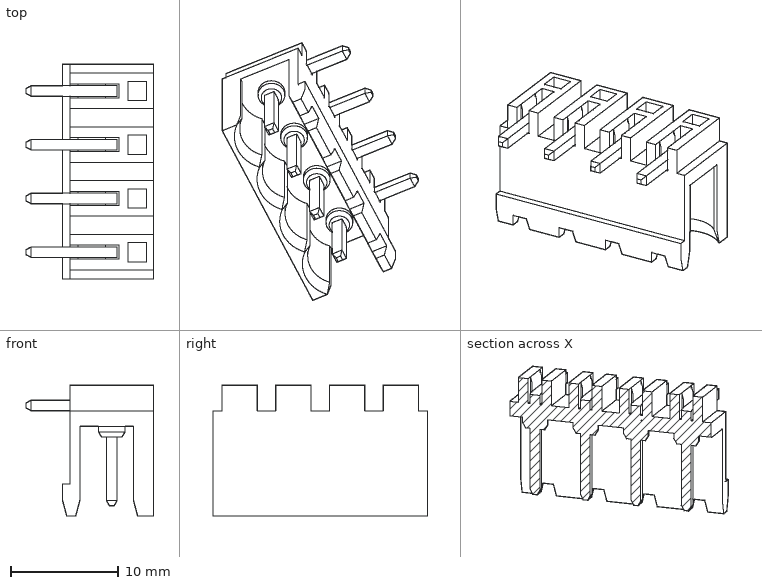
import cadquery as cq


PIN_COUNT = 4
PITCH = 5.0
LENGTH = PIN_COUNT * PITCH
PIN_ROWS = [(i - (PIN_COUNT - 1) / 2) * PITCH for i in range(PIN_COUNT)]

FRONT_X = -3.9
BODY_WIDTH = 7.8
BACK_X = FRONT_X + BODY_WIDTH
FRONT_WALL = 0.95
BACK_WALL = 1.9
FRONT_INNER_X = FRONT_X + FRONT_WALL
BACK_INNER_X = BACK_X - BACK_WALL
CEILING_Z = 8.35
DECK_Z = 9.8
LIP_DEPTH = 0.7
LIP_Z = 3.0
FOOT_TAPER_HEIGHT = 1.5
FOOT_TAPER = 0.4

TOP_Z = 12.2
BLOCK_HEIGHT = TOP_Z - DECK_Z
BLOCK_WIDTH = 3.3

SLOT_WIDTH = 1.3
SLOT_END_X = 0.65
RIB_START_X = FRONT_X + 0.75
RIB_LENGTH = 2.55
RIB_RAMP_HEIGHT = 0.55

POCKET_START_X = 1.5
POCKET_LENGTH = 1.73
POCKET_WIDTH = 1.8

CHANNEL_RADIUS = -FRONT_INNER_X
FLARE_RADIUS = CHANNEL_RADIUS + 0.5
FLARE_HEIGHT = FOOT_TAPER_HEIGHT

NOTCH_BOTTOM_WIDTH = 1.8
NOTCH_TOP_WIDTH = 1.44
NOTCH_HEIGHT = 1.2

COLLAR_DIAMETER = 2.5
COLLAR_END_DIAMETER = 1.9
COLLAR_STRAIGHT = 0.5
COLLAR_TAPER = 0.5

PIN_SIZE = 1.0
PIN_FRONT_X = FRONT_X - 4.1
PIN_BOTTOM_Z = 0.95
PIN_TOP_Z = DECK_Z + PIN_SIZE
PIN_TIP_LENGTH = 0.5
PIN_TIP_SIZE = 0.45


def make_housing():
    lip_x = FRONT_X - LIP_DEPTH
    outline = [
        (lip_x + FOOT_TAPER, 0),
        (FRONT_INNER_X - FOOT_TAPER, 0),
        (FRONT_INNER_X, FOOT_TAPER_HEIGHT),
        (FRONT_INNER_X, CEILING_Z),
        (BACK_INNER_X, CEILING_Z),
        (BACK_INNER_X, FOOT_TAPER_HEIGHT),
        (BACK_INNER_X + FOOT_TAPER, 0),
        (BACK_X, 0),
        (BACK_X, DECK_Z),
        (FRONT_X, DECK_Z),
        (FRONT_X, LIP_Z),
        (lip_x, LIP_Z),
        (lip_x, FOOT_TAPER_HEIGHT),
    ]
    return cq.Workplane("XZ").polyline(outline).close().extrude(LENGTH / 2, both=True)


def box(x_start, x_length, width, z_start, height):
    """Box centred on Y = 0."""
    block = cq.Workplane("XY").box(x_length, width, height, centered=(False, True, False))
    return block.translate((x_start, 0, z_start))


def make_channel():
    profile = [
        (0, 0),
        (FLARE_RADIUS, 0),
        (CHANNEL_RADIUS, FLARE_HEIGHT),
        (CHANNEL_RADIUS, CEILING_Z),
        (0, CEILING_Z),
    ]
    return cq.Workplane("XZ").polyline(profile).close().revolve(360, (0, 0), (0, 1))


def make_notch():
    outline = [
        (-NOTCH_BOTTOM_WIDTH / 2, 0),
        (NOTCH_BOTTOM_WIDTH / 2, 0),
        (NOTCH_TOP_WIDTH / 2, NOTCH_HEIGHT),
        (-NOTCH_TOP_WIDTH / 2, NOTCH_HEIGHT),
    ]
    notch = cq.Workplane("YZ").polyline(outline).close().extrude(LIP_DEPTH + FRONT_WALL)
    return notch.translate((FRONT_X - LIP_DEPTH, 0, 0))


def make_rib():
    """Rib on the +Y slot wall: a lead-in ramp above a face that touches the pin."""
    outline = [
        (SLOT_WIDTH / 2, DECK_Z),
        (PIN_SIZE / 2, DECK_Z),
        (PIN_SIZE / 2, TOP_Z - RIB_RAMP_HEIGHT),
        (SLOT_WIDTH / 2, TOP_Z),
    ]
    rib = cq.Workplane("YZ").polyline(outline).close().extrude(RIB_LENGTH)
    return rib.translate((RIB_START_X, 0, 0))


def make_block():
    block = box(FRONT_X, BODY_WIDTH, BLOCK_WIDTH, DECK_Z, BLOCK_HEIGHT)
    slot = box(FRONT_X, SLOT_END_X - FRONT_X, SLOT_WIDTH, DECK_Z, BLOCK_HEIGHT)
    pocket = box(POCKET_START_X, POCKET_LENGTH, POCKET_WIDTH, DECK_Z, BLOCK_HEIGHT)
    rib = make_rib()
    return block.cut(slot).cut(pocket).union(rib).union(rib.mirror("XZ"))


def make_collar():
    straight_end_z = CEILING_Z - COLLAR_STRAIGHT
    profile = [
        (0, CEILING_Z),
        (COLLAR_DIAMETER / 2, CEILING_Z),
        (COLLAR_DIAMETER / 2, straight_end_z),
        (COLLAR_END_DIAMETER / 2, straight_end_z - COLLAR_TAPER),
        (0, straight_end_z - COLLAR_TAPER),
    ]
    return cq.Workplane("XZ").polyline(profile).close().revolve(360, (0, 0), (0, 1))


def make_pin_tip(plane):
    """Tapered pin end pointing along the plane normal."""
    base = cq.Workplane(plane).rect(PIN_SIZE, PIN_SIZE)
    return base.workplane(offset=PIN_TIP_LENGTH).rect(PIN_TIP_SIZE, PIN_TIP_SIZE).loft(combine=True)


def make_pin():
    half = PIN_SIZE / 2
    arm_x = PIN_FRONT_X + PIN_TIP_LENGTH
    leg_z = PIN_BOTTOM_Z + PIN_TIP_LENGTH
    shank = (
        cq.Workplane("XZ")
        .moveTo(arm_x, DECK_Z)
        .lineTo(-half, DECK_Z)
        .lineTo(-half, leg_z)
        .lineTo(half, leg_z)
        .lineTo(half, DECK_Z)
        .radiusArc((-half, PIN_TOP_Z), -PIN_SIZE)
        .lineTo(arm_x, PIN_TOP_Z)
        .close()
        .extrude(half, both=True)
    )
    arm_end = cq.Plane(origin=(arm_x, 0, DECK_Z + half), xDir=(0, 1, 0), normal=(-1, 0, 0))
    leg_end = cq.Plane(origin=(0, 0, leg_z), xDir=(1, 0, 0), normal=(0, 0, -1))
    return shank.union(make_pin_tip(arm_end)).union(make_pin_tip(leg_end))


def at_each_row(body, feature, operation):
    for row_y in PIN_ROWS:
        body = operation(body, feature.translate((0, row_y, 0)))
    return body


result = make_housing()
for cutter in (make_channel(), make_notch()):
    result = at_each_row(result, cutter, cq.Workplane.cut)
for addition in (make_block(), make_collar(), make_pin()):
    result = at_each_row(result, addition, cq.Workplane.union)